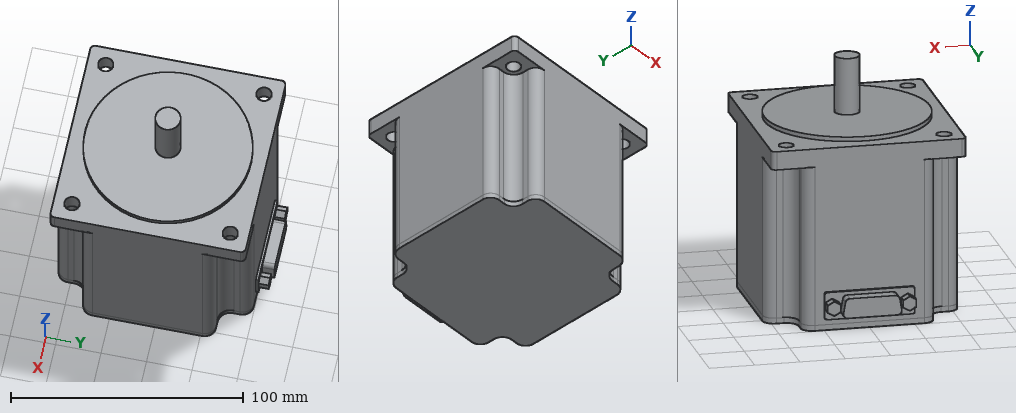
import cadquery as cq
import math


total_height = 109.6
shaft_length = 25.4
pilot_height = 2.0
flange_thickness = 8.2
end_plate_thickness = 2.6
pilot_top = total_height - shaft_length
flange_top = pilot_top - pilot_height
flange_bottom = flange_top - flange_thickness

shaft_diameter = 11.0
pilot_diameter = 73.0
body_width = 85.8
flange_corner_radius = 2.1
bolt_hole_diameter = 6.6
bolt_spacing = 69.6

relief_depth = 13.7
relief_edge_radius = 5.0
body_relief_radius = 5.9
end_plate_relief_radius = 5.5

connector_height = 11.2
mount_width = 39.8
mount_height = 12.3
mount_thickness = 1.1
mount_corner_radius = 1.1
connector_reach = 6.5
shell_base_width = 25.8
shell_height = 8.9
shell_corner_radius = 2.0
shell_side_angle = 10.0
jackscrew_spacing = 33.3
jackscrew_reach = 5.5
jackscrew_across_flats = 5.7


def rounded_bar(size_x, size_y, bottom, height):
    """Upright rectangular prism with rounded outer edges."""
    return (
        cq.Workplane("XY")
        .workplane(offset=bottom)
        .rect(size_x, size_y)
        .extrude(height)
        .edges("|Z")
        .fillet(relief_edge_radius)
    )


def relieved_square(bottom, height, relief_radius):
    """Square prism whose corners are cut back to rounded inner corners by two crossing bars."""
    narrow_width = body_width - 2 * relief_depth
    cross = rounded_bar(body_width, narrow_width, bottom, height).union(
        rounded_bar(narrow_width, body_width, bottom, height)
    )
    reach = narrow_width / 2 + relief_depth / 2
    near_axis = cq.selectors.BoxSelector((-reach, -reach, bottom), (reach, reach, bottom + height))
    return cross.edges("|Z").edges(near_axis).fillet(relief_radius)


def front_flange():
    """Square mounting flange with rounded corners, pilot disc and shaft."""
    flange = (
        cq.Workplane("XY")
        .workplane(offset=flange_bottom)
        .rect(body_width, body_width)
        .extrude(flange_thickness)
        .edges("|Z")
        .fillet(flange_corner_radius)
    )
    pilot = cq.Workplane("XY").workplane(offset=flange_top).circle(pilot_diameter / 2).extrude(pilot_height)
    shaft = cq.Workplane("XY").workplane(offset=pilot_top).circle(shaft_diameter / 2).extrude(shaft_length)
    bolt_holes = (
        cq.Workplane("XY")
        .workplane(offset=flange_bottom)
        .rect(bolt_spacing, bolt_spacing, forConstruction=True)
        .vertices()
        .circle(bolt_hole_diameter / 2)
        .extrude(flange_thickness)
    )
    return flange.cut(bolt_holes).union(pilot).union(shaft)


def connector_plane():
    """Plane on the +Y body face, centred on the connector, facing outward."""
    return cq.Workplane(cq.Plane((0, body_width / 2, connector_height), (-1, 0, 0), (0, 1, 0)))


def connector():
    """Mounting plate with a D-shaped shell and two hexagonal jackscrews."""
    mount = (
        connector_plane()
        .rect(mount_width, mount_height)
        .extrude(mount_thickness)
        .edges("|Y")
        .fillet(mount_corner_radius)
    )

    slope = math.radians(shell_side_angle)
    corner_gain = shell_corner_radius * (math.tan(math.pi / 4 + slope / 2) - 1)
    half_base = shell_base_width / 2 + corner_gain
    half_top = half_base - shell_height * math.tan(slope)
    half_height = shell_height / 2
    shell = (
        connector_plane()
        .polyline([
            (-half_base, -half_height),
            (half_base, -half_height),
            (half_top, half_height),
            (-half_top, half_height),
        ])
        .close()
        .extrude(connector_reach)
        .edges("|Y")
        .fillet(shell_corner_radius)
    )

    across_corners = jackscrew_across_flats / math.cos(math.pi / 6)
    jackscrews = (
        connector_plane()
        .transformed(rotate=(0, 0, 90))
        .pushPoints([(0, -jackscrew_spacing / 2), (0, jackscrew_spacing / 2)])
        .polygon(6, across_corners)
        .extrude(jackscrew_reach)
    )
    return mount.union(shell).union(jackscrews)


end_plate = relieved_square(0, end_plate_thickness, end_plate_relief_radius)
body = relieved_square(end_plate_thickness, flange_bottom - end_plate_thickness, body_relief_radius)
housing = body.union(front_flange()).union(connector())
result = housing.union(end_plate, clean=False)